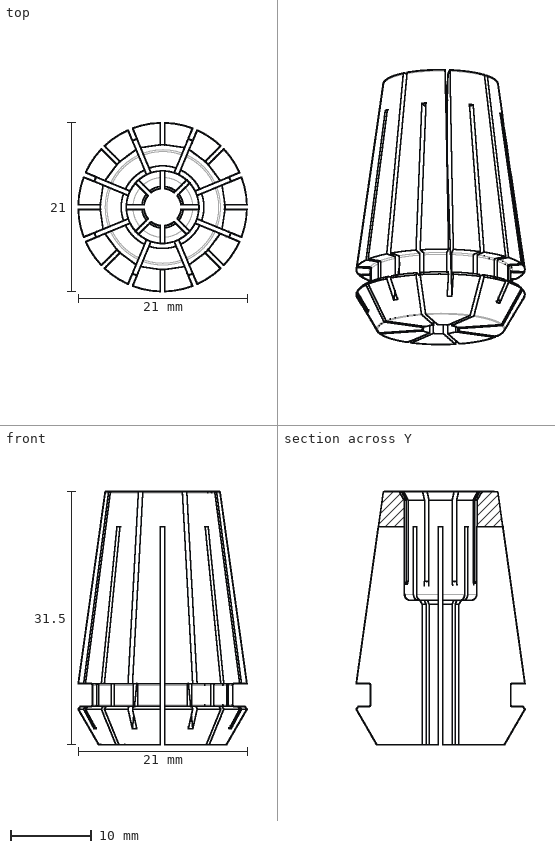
import cadquery as cq
import math

length = 31.5
max_radius = 20.98 / 2

nose_angle = 30.0
taper_angle = 8.0
nose_rim_z = 4.45
groove_bottom_z = 4.8
groove_top_z = 7.62
groove_radius = 8.73
rim_chamfer = 0.28
groove_fillet = 0.2
end_fillet = 0.22
nose_fillet = 0.15

clamp_radius = 2.3
relief_radius = 9.0 / 2
relief_floor_z = 17.95
relief_fillet = 0.8
mouth_chamfer = 0.63
step_chamfer = 0.28
bore_chamfer_angle = 30.0

slots_per_end = 8
nose_slot_width = 0.55
rear_slot_width = 0.6
nose_slot_top_z = 27.1
rear_slot_exit_z = 2.0
rear_slot_floor_angle = 14.0


def slope(angle):
    """Radial change per unit of height of a line tilted from the axis."""
    return math.tan(math.radians(angle))


def nose_radius(z):
    return max_radius - (nose_rim_z - z) * slope(nose_angle)


def fillet_circle(solid, z, radius, fillet_radius):
    """Round the circular edge of the given height and radius."""
    tolerance = 0.003

    def is_wanted(edge):
        right_height = abs(edge.Center().z - z) < tolerance
        return edge.geomType() == "CIRCLE" and right_height and abs(edge.radius() - radius) < tolerance

    return solid.edges().filter(is_wanted).fillet(fillet_radius)


def make_body():
    rear_radius = max_radius - (length - groove_top_z) * slope(taper_angle)
    profile = [
        (0, 0),
        (nose_radius(0), 0),
        (max_radius, nose_rim_z),
        (max_radius - rim_chamfer, groove_bottom_z),
        (groove_radius, groove_bottom_z),
        (groove_radius, groove_top_z),
        (max_radius, groove_top_z),
        (rear_radius, length),
        (0, length),
    ]
    body = cq.Workplane("XZ").polyline(profile).close().revolve(360, (0, 0), (0, 1))
    body = fillet_circle(body, length, rear_radius, end_fillet)
    body = fillet_circle(body, 0, nose_radius(0), nose_fillet)
    for z in (groove_bottom_z, groove_top_z):
        body = fillet_circle(body, z, groove_radius, groove_fillet)
    return body


def make_bore():
    mouth_depth = mouth_chamfer / slope(bore_chamfer_angle)
    step_depth = step_chamfer / slope(bore_chamfer_angle)
    profile = [
        (0, 0),
        (clamp_radius, 0),
        (clamp_radius, relief_floor_z - step_depth),
        (clamp_radius + step_chamfer, relief_floor_z),
        (relief_radius, relief_floor_z),
        (relief_radius, length - mouth_depth),
        (relief_radius + mouth_chamfer, length),
        (0, length),
    ]
    bore = cq.Workplane("XZ").polyline(profile).close().revolve(360, (0, 0), (0, 1))
    return fillet_circle(bore, relief_floor_z, relief_radius, relief_fillet)


def radial_slot(width, outline):
    """Saw cut reaching out along +X, from its width and outline of (radius, z) points."""
    return cq.Workplane("XZ").polyline(outline).close().extrude(width / 2, both=True)


def make_nose_slot():
    return radial_slot(nose_slot_width, [
        (0, 0),
        (max_radius, 0),
        (max_radius, nose_slot_top_z),
        (0, nose_slot_top_z),
    ])


def make_rear_slot():
    exit_radius = nose_radius(rear_slot_exit_z)
    floor_end_radius = exit_radius - (length - rear_slot_exit_z) * slope(rear_slot_floor_angle)
    return radial_slot(rear_slot_width, [
        (exit_radius, rear_slot_exit_z),
        (max_radius, rear_slot_exit_z),
        (max_radius, length),
        (floor_end_radius, length),
    ])


result = make_body().cut(make_bore())

pitch = 360 / slots_per_end
nose_slot = make_nose_slot()
rear_slot = make_rear_slot()
for index in range(slots_per_end):
    result = result.cut(nose_slot.rotate((0, 0, 0), (0, 0, 1), index * pitch))
    result = result.cut(rear_slot.rotate((0, 0, 0), (0, 0, 1), (index + 0.5) * pitch))